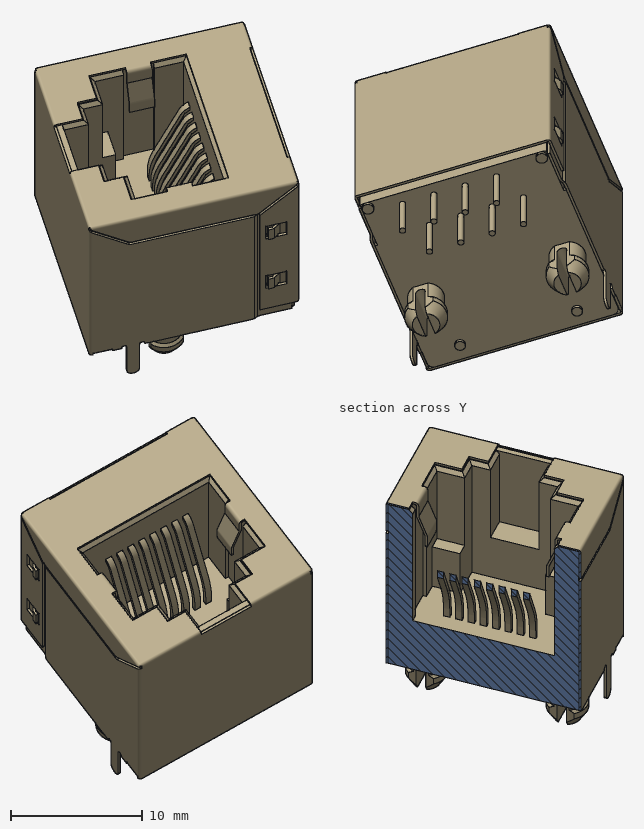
import cadquery as cq
import math


SHIELD_X = 15.9
SHIELD_Y = 16.61
SHIELD_TOP = 16.35
SHEET = 0.2
BEND_R = 0.25
SIDE_X = SHIELD_X / 2
FRONT_Y = -SHIELD_Y / 2
BACK_Y = SHIELD_Y / 2

HOUSING_X = SHIELD_X - 2 * SHEET
HOUSING_Y = SHIELD_Y - 2 * SHEET
HOUSING_TOP = SHIELD_TOP - SHEET
HOUSING_CORNER_R = 0.55
HOUSING_SIDE_X = HOUSING_X / 2

MOUTH_BACK_Y = 2.92
WIDE_HALF, WIDE_FRONT_Y = 5.75, -4.1
STEP_HALF, STEP_FRONT_Y = 3.49, -5.64
LATCH_HALF, LATCH_FRONT_Y = 1.97, -7.63
MOUTH_CHAMFER = 0.3
CHAMFER_LIP = 0.001
SHIELD_STEP_GAP = 0.07
CAVITY_FLOOR = 5.0
LEDGE_Z = 9.0
LEDGE_Y = -3.07
LATCH_FLOOR = 9.0
LATCH_RAMP_Y = -7.1
LATCH_RAMP_DROP = 0.04

BACK_NOTCH_HALF = 5.36

SEAM = 0.24
FLAP_Z = 13.47
FLAP_HALF_Y = 5.05
BACK_FLAP_BOTTOM = 1.02
BACK_FLAP_Y = 5.18
JOG_START_Y = 4.5
JOG_CREST_Y = 4.76
JOG_FOOT_Y = 5.03
JOG_END_Y = 5.24
BEND_FACET = 0.03
INNER_END_Y = 7.75
POCKET_START_Y = 4.09

TAB_HEIGHT = 1.26
TAB_REACH = 8.12
TAB_ROOT_Y, TAB_BEND_Y, TAB_CREST_Y, TAB_TIP_Y = 6.8, 6.27, 6.04, 5.82
TAB_CENTRES_Z = (10.73, 4.34)
WINDOW_Y = (5.65, 7.3)
WINDOW_BELOW, WINDOW_ABOVE = 0.7, 0.9

LEG_Y = -4.85
LEG_WIDTH = 1.02
LEG_TIP_Z = -3.5
LEG_RELIEF_R = 0.2
LEG_RELIEF_HEIGHT = 0.26
FOOT_NOTCH_Y = (-8.03, -6.5)
FOOT_NOTCH_HEIGHT = 0.18

SPRING_Y = (-1.6, 0.39)
SPRING_SLOT_Y = (-1.82, 0.62)
SPRING_SLOT_X = WIDE_HALF + MOUTH_CHAMFER
SPRING_BEND_R = 0.33
SPRING_X = 5.55
SPRING_KNEE_X = 4.84
SPRING_KNEE_R = 0.6
SPRING_SHOULDER_DROP, SPRING_KNEE_DROP, SPRING_END_DROP = 1.35, 3.15, 4.2

CONTACT_COUNT = 8
CONTACT_PITCH = 1.0
CONTACT_WIDTH = 0.52
CONTACT_THICKNESS = 0.32
CONTACT_TIP = (2.75, 13.35)
CONTACT_SLOPE_TOP = (2.0, 12.65)
CONTACT_SLOPE_FOOT = (0.0, 8.13)
CONTACT_ROOT = (-0.5, 5.77)

PIN_COUNT = 8
PIN_PITCH = 1.27
PIN_D = 0.48
PIN_TIP_Z = -3.53
PIN_ROWS_Y = (4.54, 7.08)

PEG_X = 5.73
PEG_Y = -1.82
PEG_R = 1.42
BARB_R = 1.64
PEG_TIP_R = 1.05
PEG_DEPTH = 3.55
BARB_START, BARB_TOP, BARB_BOTTOM = 1.77, 2.0, 2.54
PEG_FLAT_HALF = 1.28
PEG_SLOT = 0.77
PEG_SLOT_TOP = -0.57

STANDOFF_HEIGHT = 0.24
FRONT_STANDOFF_D = 0.82
FRONT_STANDOFF_X, FRONT_STANDOFF_Y = 4.74, -6.74
BACK_STANDOFF_R = 0.45
BACK_STANDOFF_X = 7.04
BACK_STANDOFF_Y = HOUSING_Y / 2 - BACK_STANDOFF_R

SIDES = (-1, 1)


def block(x0, x1, y0, y1, z0, z1):
    """Axis-aligned block between the given limits."""
    size = (abs(x1 - x0), y1 - y0, z1 - z0)
    return cq.Workplane("XY").box(*size).translate(((x0 + x1) / 2, (y0 + y1) / 2, (z0 + z1) / 2))


def mouth_outline(plane, growth, front_y, step_gap=0):
    """Stepped outline of the plug opening, grown outward, with an extra gap at the steps."""
    wide, latch = WIDE_HALF + growth, LATCH_HALF + growth
    step = STEP_HALF + growth + step_gap
    wide_y = WIDE_FRONT_Y - growth - step_gap
    step_y = STEP_FRONT_Y - growth - step_gap
    right = [
        (wide, MOUTH_BACK_Y + growth),
        (wide, wide_y),
        (step, wide_y),
        (step, step_y),
        (latch, step_y),
        (latch, front_y),
    ]
    left = [(-x, y) for x, y in reversed(right)]
    return plane.polyline(right + left).close()


def mirrored(make):
    """The +X piece built by make, together with its mirror image."""
    piece = make()
    return piece.union(piece.mirror("YZ"))


def shield_shell():
    outer = block(-SIDE_X, SIDE_X, FRONT_Y, BACK_Y, 0, SHIELD_TOP)
    outer = outer.edges("|Z or >Z").fillet(BEND_R)
    inner = block(-HOUSING_SIDE_X, HOUSING_SIDE_X, -HOUSING_Y / 2, HOUSING_Y / 2, 0, HOUSING_TOP)
    return outer.cut(inner)


def top_opening():
    """Plug opening through the top sheet, with the notches in the front and back bends."""
    bend_bottom = SHIELD_TOP - BEND_R
    base = cq.Workplane("XY").workplane(offset=bend_bottom)
    opening = mouth_outline(base, MOUTH_CHAMFER, FRONT_Y, SHIELD_STEP_GAP).extrude(BEND_R)
    back = block(-BACK_NOTCH_HALF, BACK_NOTCH_HALF, BACK_Y - BEND_R, BACK_Y, bend_bottom, SHIELD_TOP)
    return opening.union(back)


def seam_cut():
    """Seams on the +X side: around the top flap and along the back flap."""
    corner_z = SHIELD_TOP - BEND_R
    corner_y = BACK_Y - BEND_R
    slope = (corner_z - FLAP_Z) / (corner_y - FLAP_HALF_Y)
    edge_z = FLAP_Z + slope * (BACK_Y - FLAP_HALF_Y)
    mitre_drop = SEAM * math.sqrt(1 + slope**2)
    lower_half_y = FLAP_HALF_Y + (mitre_drop - SEAM) / slope
    upper = [(BACK_Y, edge_z), (FLAP_HALF_Y, FLAP_Z), (-FLAP_HALF_Y, FLAP_Z), (FRONT_Y, edge_z)]
    lower = [
        (FRONT_Y, edge_z - mitre_drop),
        (-lower_half_y, FLAP_Z - SEAM),
        (lower_half_y, FLAP_Z - SEAM),
        (BACK_Y, edge_z - mitre_drop),
    ]
    start_x = SIDE_X - BEND_R
    mitres = cq.Workplane("YZ").workplane(offset=start_x).polyline(upper + lower).close().extrude(BEND_R)
    gap = block(start_x, SIDE_X, JOG_START_Y, BACK_FLAP_Y, 0, FLAP_Z - SEAM)
    return mitres.union(gap)


def inner_panel():
    """Side sheet jogged inward by one thickness to run behind the back flap, on the +X side."""
    face = [
        (SIDE_X, JOG_START_Y),
        (SIDE_X - BEND_FACET, JOG_CREST_Y),
        (SIDE_X - SHEET + BEND_FACET, JOG_FOOT_Y),
        (SIDE_X - SHEET, JOG_END_Y),
        (SIDE_X - SHEET, INNER_END_Y),
    ]
    outline = face + [(x - SHEET, y) for x, y in reversed(face)]
    panel = cq.Workplane("XY").polyline(outline).close().extrude(FLAP_Z - SEAM)
    for z in TAB_CENTRES_Z:
        bottom, top = z - TAB_HEIGHT / 2, z + TAB_HEIGHT / 2
        opening = block(SIDE_X - 2 * SHEET, SIDE_X - SHEET, TAB_TIP_Y, TAB_ROOT_Y, bottom, top)
        panel = panel.cut(opening).union(latch_tab(bottom))
    return panel


def latch_tab(bottom):
    """Tab lanced from the inner panel and bent outward, on the +X side."""
    outline = [
        (SIDE_X - SHEET, TAB_ROOT_Y),
        (TAB_REACH - BEND_FACET, TAB_BEND_Y),
        (TAB_REACH, TAB_CREST_Y),
        (TAB_REACH, TAB_TIP_Y),
        (TAB_REACH - SHEET, TAB_TIP_Y),
        (TAB_REACH - SHEET, TAB_BEND_Y - SHEET / 2),
        (SIDE_X - 2 * SHEET, TAB_ROOT_Y - SHEET / 2),
        (SIDE_X - 2 * SHEET, TAB_ROOT_Y),
    ]
    return cq.Workplane("XY").workplane(offset=bottom).polyline(outline).close().extrude(TAB_HEIGHT)


def flap_windows():
    """Windows in the +X back flap around the latch tabs."""
    windows = cq.Workplane("XY")
    for z in TAB_CENTRES_Z:
        windows = windows.union(
            block(SIDE_X - SHEET, SIDE_X, *WINDOW_Y, z - WINDOW_BELOW, z + WINDOW_ABOVE)
        )
    return windows


def ground_leg():
    """Round-ended leg below the +X side sheet."""
    radius = LEG_WIDTH / 2
    return (
        cq.Workplane("YZ").workplane(offset=SIDE_X - SHEET)
        .moveTo(LEG_Y - radius, 2 * LEG_RELIEF_HEIGHT)
        .lineTo(LEG_Y - radius, LEG_TIP_Z + radius)
        .threePointArc((LEG_Y, LEG_TIP_Z), (LEG_Y + radius, LEG_TIP_Z + radius))
        .lineTo(LEG_Y + radius, 2 * LEG_RELIEF_HEIGHT)
        .close().extrude(SHEET)
    )


def bottom_notches():
    """Reliefs beside the leg and the foot notch, in the bottom edge of the +X side sheet."""
    notches = block(SIDE_X - SHEET, SIDE_X, *FOOT_NOTCH_Y, 0, FOOT_NOTCH_HEIGHT)
    arc_z = LEG_RELIEF_HEIGHT - LEG_RELIEF_R
    for side in SIDES:
        y = LEG_Y + side * (LEG_WIDTH / 2 + LEG_RELIEF_R)
        round_end = (
            cq.Workplane("YZ").workplane(offset=SIDE_X - SHEET)
            .center(y, arc_z).circle(LEG_RELIEF_R).extrude(SHEET)
        )
        throat = block(SIDE_X - SHEET, SIDE_X, y - LEG_RELIEF_R, y + LEG_RELIEF_R, 0, arc_z)
        notches = notches.union(round_end).union(throat)
    return notches


def spring_finger():
    """Finger bent down from the +X edge of the plug opening, with a knee into the cavity."""
    top = SHIELD_TOP
    bend_x = SPRING_X + SPRING_BEND_R
    bend_z = top - SPRING_BEND_R
    inner_r = SPRING_BEND_R - SHEET
    root_x = WIDE_HALF + MOUTH_CHAMFER
    diagonal = math.sqrt(0.5)
    finger = (
        cq.Workplane("XZ").workplane(offset=-SPRING_Y[1])
        .moveTo(root_x, top)
        .lineTo(bend_x, top)
        .threePointArc(
            (bend_x - SPRING_BEND_R * diagonal, bend_z + SPRING_BEND_R * diagonal),
            (SPRING_X, bend_z),
        )
        .lineTo(SPRING_X, top - SPRING_SHOULDER_DROP)
        .lineTo(SPRING_KNEE_X, top - SPRING_KNEE_DROP)
        .lineTo(SPRING_KNEE_X, top - SPRING_END_DROP)
        .lineTo(SPRING_KNEE_X + SHEET, top - SPRING_END_DROP)
        .lineTo(SPRING_KNEE_X + SHEET, top - SPRING_KNEE_DROP)
        .lineTo(SPRING_X + SHEET, top - SPRING_SHOULDER_DROP)
        .lineTo(SPRING_X + SHEET, bend_z)
        .threePointArc(
            (bend_x - inner_r * diagonal, bend_z + inner_r * diagonal),
            (bend_x, bend_z + inner_r),
        )
        .lineTo(root_x, top - SHEET)
        .close().extrude(SPRING_Y[1] - SPRING_Y[0])
    )
    knee_z = top - SPRING_KNEE_DROP
    knee = cq.selectors.BoxSelector(
        (0, SPRING_Y[0], knee_z - SHEET), (SIDE_X, SPRING_Y[1], knee_z + SHEET)
    )
    return finger.edges("|Y").edges(knee).fillet(SPRING_KNEE_R)


def make_shield():
    below_back = block(-SIDE_X, SIDE_X, BACK_FLAP_Y, BACK_Y, 0, BACK_FLAP_BOTTOM)
    shell = shield_shell().cut(top_opening()).cut(mirrored(seam_cut)).cut(below_back)
    shell = shell.cut(mirrored(flap_windows)).cut(mirrored(bottom_notches))
    for make in (inner_panel, ground_leg, spring_finger):
        shell = shell.union(mirrored(make))
    return shell


def plug_cavity():
    floor = cq.Workplane("XY").workplane(offset=CAVITY_FLOOR)
    cavity = mouth_outline(floor, 0, LATCH_FRONT_Y).extrude(HOUSING_TOP - CAVITY_FLOOR)
    for side in SIDES:
        ledge = block(side * STEP_HALF, side * WIDE_HALF, WIDE_FRONT_Y, LEDGE_Y, CAVITY_FLOOR, LEDGE_Z)
        cavity = cavity.cut(ledge)
    latch_step = (
        cq.Workplane("YZ").workplane(offset=-LATCH_HALF)
        .moveTo(STEP_FRONT_Y, CAVITY_FLOOR)
        .lineTo(STEP_FRONT_Y, LATCH_FLOOR)
        .lineTo(LATCH_RAMP_Y, LATCH_FLOOR)
        .lineTo(LATCH_FRONT_Y, LATCH_FLOOR - LATCH_RAMP_DROP)
        .lineTo(LATCH_FRONT_Y, CAVITY_FLOOR)
        .close().extrude(2 * LATCH_HALF)
    )
    return cavity.cut(latch_step).union(mouth_flare())


def mouth_flare():
    """Chamfer around the cavity mouth; the front wall of the latch channel stays square."""
    start = HOUSING_TOP - MOUTH_CHAMFER
    base = cq.Workplane("XY").workplane(offset=start)
    flare = (
        mouth_outline(base, MOUTH_CHAMFER, LATCH_FRONT_Y - MOUTH_CHAMFER)
        .extrude(MOUTH_CHAMFER)
        .faces("<Z").chamfer(MOUTH_CHAMFER - CHAMFER_LIP)
    )
    front_wall = block(-SIDE_X, SIDE_X, FRONT_Y, LATCH_FRONT_Y, start, HOUSING_TOP)
    return flare.cut(front_wall)


def side_pocket():
    """Recess for the jogged side sheet of the shield, on the +X side."""
    return block(
        HOUSING_SIDE_X - SHEET, HOUSING_SIDE_X, POCKET_START_Y, HOUSING_Y / 2, 0, HOUSING_TOP
    )


def spring_slot():
    return block(SPRING_KNEE_X, SPRING_SLOT_X, *SPRING_SLOT_Y, CAVITY_FLOOR, HOUSING_TOP)


def contact(x):
    """Spring contact rising from the cavity floor, sloping back and bending over at its tip."""
    back = cq.Vector(CONTACT_THICKNESS, 0)
    root, foot = cq.Vector(CONTACT_ROOT), cq.Vector(CONTACT_SLOPE_FOOT)
    crest, tip = cq.Vector(CONTACT_SLOPE_TOP), cq.Vector(CONTACT_TIP)
    buried = cq.Vector(root.x, CAVITY_FLOOR - CONTACT_THICKNESS)
    run, rise = foot.x - root.x, foot.y - root.y
    radius = (run**2 + rise**2) / (2 * run)
    sweep = math.asin(rise / radius) / 2
    arc_middle = root + cq.Vector(radius * (1 - math.cos(sweep)), radius * math.sin(sweep))

    def flat(point):
        return (point.x, point.y)

    return (
        cq.Workplane("YZ").workplane(offset=x - CONTACT_WIDTH / 2)
        .moveTo(*flat(buried))
        .lineTo(*flat(root))
        .threePointArc(flat(arc_middle), flat(foot))
        .lineTo(*flat(crest))
        .tangentArcPoint(flat(tip), relative=False)
        .line(0, -CONTACT_THICKNESS)
        .lineTo(*flat(crest + back))
        .lineTo(*flat(foot + back))
        .threePointArc(flat(arc_middle + back), flat(root + back))
        .lineTo(*flat(buried + back))
        .close().extrude(CONTACT_WIDTH)
    )


def board_peg(side):
    """Split, flat-sided snap peg; side is -1 or +1 in X."""
    x = side * PEG_X
    peg = (
        cq.Workplane("XZ")
        .moveTo(0, 0)
        .lineTo(PEG_R, 0)
        .lineTo(PEG_R, -BARB_START)
        .lineTo(BARB_R, -BARB_TOP)
        .lineTo(BARB_R, -BARB_BOTTOM)
        .lineTo(PEG_TIP_R, -PEG_DEPTH)
        .lineTo(0, -PEG_DEPTH)
        .close().revolve(360, (0, 0), (0, 1))
    )
    peg = peg.intersect(block(-BARB_R, BARB_R, -PEG_FLAT_HALF, PEG_FLAT_HALF, -PEG_DEPTH, 0))
    slot_r = PEG_SLOT / 2
    arch_z = PEG_SLOT_TOP - slot_r
    arch = (
        cq.Workplane("XZ").workplane(offset=-PEG_FLAT_HALF)
        .center(0, arch_z).circle(slot_r).extrude(2 * PEG_FLAT_HALF)
    )
    slot = block(-slot_r, slot_r, -PEG_FLAT_HALF, PEG_FLAT_HALF, -PEG_DEPTH, arch_z)
    return peg.cut(arch).cut(slot).translate((x, PEG_Y, 0))


def solder_pin(index):
    """Round pin; neighbouring pins stand in alternate rows."""
    x = (index - (PIN_COUNT - 1) / 2) * PIN_PITCH
    y = PIN_ROWS_Y[index % len(PIN_ROWS_Y)]
    return cq.Workplane("XY").center(x, y).circle(PIN_D / 2).extrude(PIN_TIP_Z)


def standoffs(side):
    front = (
        cq.Workplane("XY").center(side * FRONT_STANDOFF_X, FRONT_STANDOFF_Y)
        .circle(FRONT_STANDOFF_D / 2).extrude(-STANDOFF_HEIGHT)
    )
    back = (
        cq.Workplane("XY").center(side * BACK_STANDOFF_X, BACK_STANDOFF_Y)
        .circle(BACK_STANDOFF_R).extrude(-STANDOFF_HEIGHT)
    )
    return front.union(back)


def make_housing():
    body = block(-HOUSING_SIDE_X, HOUSING_SIDE_X, -HOUSING_Y / 2, HOUSING_Y / 2, 0, HOUSING_TOP)
    body = body.edges("|Z").fillet(HOUSING_CORNER_R)
    body = body.cut(plug_cavity()).cut(mirrored(side_pocket)).cut(mirrored(spring_slot))
    for i in range(CONTACT_COUNT):
        body = body.union(contact((i - (CONTACT_COUNT - 1) / 2) * CONTACT_PITCH))
    for i in range(PIN_COUNT):
        body = body.union(solder_pin(i))
    for side in SIDES:
        body = body.union(board_peg(side)).union(standoffs(side))
    return body


shield = make_shield()
housing = make_housing()
result = cq.Compound.makeCompound([shield.val(), housing.val()])